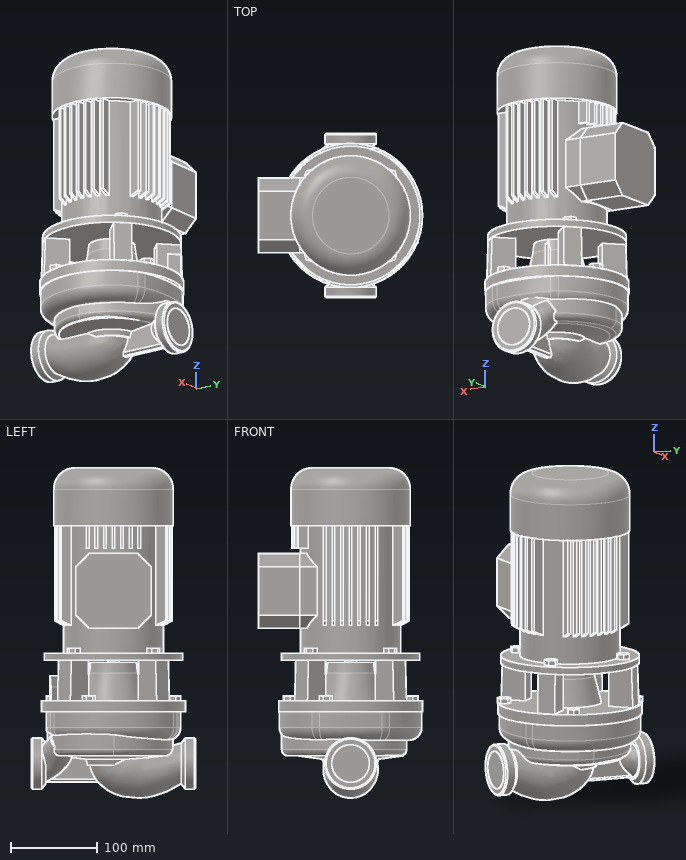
import cadquery as cq
import math


PORT_AXIS_Z = 40.0
VOLUTE_BOTTOM_Z = 49.0
CASING_BOTTOM_Z = 67.0
CASING_TOP_Z = 99.7
LANTERN_DISC_TOP_Z = 112.7
HUB_CONE_TOP_Z = 145.0
HUB_TOP_Z = 157.5
MOTOR_BOTTOM_Z = 159.5
MOTOR_FLANGE_TOP_Z = 167.8
FIN_BOTTOM_Z = 200.0
FIN_TIP_BOTTOM_Z = 205.2
SHORT_FIN_BOTTOM_Z = 289.0
FAN_COVER_BOTTOM_Z = 315.0
TOTAL_HEIGHT = 382.0

FAN_COVER_RADIUS = 69.0
FAN_COVER_FILLET = 25.0
MOTOR_RADIUS = 58.0
MOTOR_FLANGE_RADIUS = 80.3
FIN_TIP_RADIUS = 68.0
FIN_COUNT = 7
FIN_PITCH = 10.0
FIN_WIDTH = 3.0

BOX_SIZE = 86.8
BOX_CHAMFER = 15.3
BOX_CENTER_Z = 239.5
BOX_OUTER_X = -106.5
BOX_INNER_X = -59.0

BOLT_CORNER_DIAMETER = 15.3
BOLT_HEAD_HEIGHT = 5.7
BOLT_COUNT = 4
MOTOR_BOLT_CIRCLE_RADIUS = 65.0
MOTOR_BOLT_ANGLE = 45.0
CASING_BOLT_CIRCLE_RADIUS = 76.5
CASING_BOLT_ANGLE = 68.0

LANTERN_DISC_RADIUS = 83.5
LEG_COUNT = 4
FIRST_LEG_ANGLE = 45.0
LEG_WIDTH = 21.0
LEG_INNER_RADIUS = 51.2
LEG_TOP_RADIUS = 79.5
LEG_BOTTOM_RADIUS = 81.0
HUB_BASE_RADIUS = 36.3
HUB_CONE_TOP_RADIUS = 28.3
HUB_TOP_RADIUS = 26.8
SHAFT_RADIUS = 7.0
PLATE_THICKNESS = 2.3
PLATE_OFFSET = 26.8
PLATE_INNER_REACH = 61.0
PLATE_OUTER_REACH = 76.5
PLATE_TOP_Z = 141.8
PLATE_BEVEL_HEIGHT = 12.5
PLATE_BEVEL_DEPTH = 1.5

CASING_RADIUS = 82.5
CASING_BOTTOM_FILLET = 15.3
PANEL_HALF_WIDTH = 40.5
PANEL_Y = 78.0
PANEL_CORNER_FILLET = 30.5
VOLUTE_START_RADIUS = 65.0
VOLUTE_END_RADIUS = 80.0
VOLUTE_OUTLET_Y = 76.5
VOLUTE_TOP_Z = 78.5
VOLUTE_FILLET = 7.5
VOLUTE_WALL_STEPS = 12
BASE_CONE_RADIUS = 61.0
EYE_TOP_RADIUS = 32.5
EYE_TOP_Z = 45.0
EYE_BOTTOM_RADIUS = 30.5
EYE_BOTTOM_Z = 38.2

PORT_SPAN = 190.0
PORT_FACE_Y = PORT_SPAN / 2
PORT_RADIUS = 30.0
PORT_THICKNESS = 12.0
PORT_CONE_LENGTH = 5.0
PORT_CHAMFER = 1.5
PIPE_RADIUS = 23.7
NECK_Y = PORT_FACE_Y - PORT_THICKNESS - PORT_CONE_LENGTH
SEALING_FACE_RADIUS = 21.8
SEALING_FACE_DEPTH = 0.5
DISCHARGE_RADIUS = 22.5
PIPE_OVERLAP = 2.3

ELBOW_SECTIONS = [
    ((0, -53.5, 33.2), (0, 0.95, -0.25), 27.0),
    ((0, -26.8, 31.0), (0, 0.98, 0.2), 31.5),
    ((0, -6.0, 38.2), (0, 0.65, 0.75), 31.5),
    ((0, 0, 53.5), (0, 0, 1), 26.8),
]
DISCHARGE_SECTIONS = [
    ((-11.5, 69.5, 47.5), (-0.4, -0.6, 0.6), 18.7),
    ((-30.5, 59.2, 65.0), (-0.7, -0.4, 0.6), 14.5),
]

RIB_THICKNESS = 11.5
RIB_BOTTOM_Z = 18.7
RIB_END_Y = 76.5
RIB_CHAMFER = 3.0


def cylinder(radius, bottom_z, top_z):
    return cq.Workplane("XY").workplane(offset=bottom_z).circle(radius).extrude(top_z - bottom_z)


def bolt_heads(circle_radius, start_angle, seat_z):
    """Hexagon heads spread evenly around the shaft axis, standing on a face at seat_z."""
    return (
        cq.Workplane("XY")
        .workplane(offset=seat_z)
        .polarArray(circle_radius, start_angle, 360, BOLT_COUNT)
        .polygon(6, BOLT_CORNER_DIAMETER)
        .extrude(BOLT_HEAD_HEIGHT)
    )


def box_prism(start_x, end_x):
    """Terminal box section: a square with chamfered corners, running along X."""
    return (
        cq.Workplane("YZ", origin=(start_x, 0, BOX_CENTER_Z))
        .rect(BOX_SIZE, BOX_SIZE)
        .extrude(end_x - start_x)
        .edges("|X")
        .chamfer(BOX_CHAMFER)
    )


def fin_row(bottom_z):
    """Parallel cooling fins on the +X side, reaching past the fin tip radius."""
    fin_height = FAN_COVER_BOTTOM_Z - bottom_z
    middle = (FIN_COUNT - 1) / 2
    centers = [(FIN_TIP_RADIUS / 2, (i - middle) * FIN_PITCH) for i in range(FIN_COUNT)]
    return (
        cq.Workplane("XY")
        .workplane(offset=bottom_z)
        .pushPoints(centers)
        .rect(FIN_TIP_RADIUS, FIN_WIDTH)
        .extrude(fin_height)
    )


def make_fins():
    envelope = (
        cq.Workplane("XZ")
        .moveTo(0, FIN_BOTTOM_Z)
        .lineTo(MOTOR_RADIUS, FIN_BOTTOM_Z)
        .lineTo(FIN_TIP_RADIUS, FIN_TIP_BOTTOM_Z)
        .lineTo(FIN_TIP_RADIUS, FAN_COVER_BOTTOM_Z)
        .lineTo(0, FAN_COVER_BOTTOM_Z)
        .close()
        .revolve(360, (0, 0, 0), (0, 1, 0))
    )
    fins = fin_row(SHORT_FIN_BOTTOM_Z).rotate((0, 0, 0), (0, 0, 1), 180)
    for angle in (-90, 0, 90):
        fins = fins.union(fin_row(FIN_BOTTOM_Z).rotate((0, 0, 0), (0, 0, 1), angle))
    return fins.intersect(envelope)


def make_motor():
    fan_cover = cylinder(FAN_COVER_RADIUS, FAN_COVER_BOTTOM_Z, TOTAL_HEIGHT)
    fan_cover = fan_cover.faces(">Z").edges().fillet(FAN_COVER_FILLET)
    frame = cylinder(MOTOR_RADIUS, MOTOR_BOTTOM_Z, FAN_COVER_BOTTOM_Z)
    flange = cylinder(MOTOR_FLANGE_RADIUS, MOTOR_BOTTOM_Z, MOTOR_FLANGE_TOP_Z)
    box_seat = box_prism(BOX_INNER_X, 0)
    bolts = bolt_heads(MOTOR_BOLT_CIRCLE_RADIUS, MOTOR_BOLT_ANGLE, MOTOR_FLANGE_TOP_Z)
    return frame.union(fan_cover).union(make_fins()).union(flange).union(box_seat).union(bolts)


def make_terminal_box():
    return box_prism(BOX_OUTER_X, BOX_INNER_X)


def make_leg(angle):
    return (
        cq.Workplane("XZ")
        .moveTo(LEG_INNER_RADIUS, CASING_TOP_Z)
        .lineTo(LEG_BOTTOM_RADIUS, CASING_TOP_Z)
        .lineTo(LEG_BOTTOM_RADIUS, LANTERN_DISC_TOP_Z)
        .lineTo(LEG_TOP_RADIUS, MOTOR_BOTTOM_Z)
        .lineTo(LEG_INNER_RADIUS, MOTOR_BOTTOM_Z)
        .close()
        .extrude(LEG_WIDTH / 2, both=True)
        .rotate((0, 0, 0), (0, 0, 1), angle)
    )


def make_hub():
    return (
        cq.Workplane("XZ")
        .moveTo(0, CASING_TOP_Z)
        .lineTo(HUB_BASE_RADIUS, CASING_TOP_Z)
        .lineTo(HUB_BASE_RADIUS, LANTERN_DISC_TOP_Z)
        .lineTo(HUB_CONE_TOP_RADIUS, HUB_CONE_TOP_Z)
        .lineTo(HUB_TOP_RADIUS, HUB_TOP_Z)
        .lineTo(SHAFT_RADIUS, HUB_TOP_Z)
        .lineTo(SHAFT_RADIUS, MOTOR_BOTTOM_Z)
        .lineTo(0, MOTOR_BOTTOM_Z)
        .close()
        .revolve(360, (0, 0, 0), (0, 1, 0))
    )


def make_plate():
    """Thin upright plate parallel to the (-X, +Y) leg, bevelled along its top."""
    length = PLATE_OUTER_REACH - PLATE_INNER_REACH
    center = (PLATE_INNER_REACH + length / 2, -PLATE_OFFSET)
    return (
        cq.Workplane("XY")
        .workplane(offset=CASING_TOP_Z)
        .center(*center)
        .rect(length, PLATE_THICKNESS)
        .extrude(PLATE_TOP_Z - CASING_TOP_Z)
        .faces(">Y")
        .edges(">Z")
        .chamfer(PLATE_BEVEL_HEIGHT, PLATE_BEVEL_DEPTH)
        .rotate((0, 0, 0), (0, 0, 1), FIRST_LEG_ANGLE + 360 / LEG_COUNT)
    )


def make_lantern():
    lantern = cylinder(LANTERN_DISC_RADIUS, CASING_TOP_Z, LANTERN_DISC_TOP_Z).union(make_hub())
    for i in range(LEG_COUNT):
        lantern = lantern.union(make_leg(FIRST_LEG_ANGLE + i * 360 / LEG_COUNT))
    bolts = bolt_heads(CASING_BOLT_CIRCLE_RADIUS, CASING_BOLT_ANGLE, LANTERN_DISC_TOP_Z)
    return lantern.union(make_plate()).union(bolts)


def make_bowl():
    """Round bowl whose -Y and +Y sides are flattened to a wide arc."""
    corner_y = math.sqrt(CASING_RADIUS**2 - PANEL_HALF_WIDTH**2)
    return (
        cq.Workplane("XY")
        .workplane(offset=CASING_BOTTOM_Z)
        .moveTo(PANEL_HALF_WIDTH, -corner_y)
        .threePointArc((CASING_RADIUS, 0), (PANEL_HALF_WIDTH, corner_y))
        .threePointArc((0, PANEL_Y), (-PANEL_HALF_WIDTH, corner_y))
        .threePointArc((-CASING_RADIUS, 0), (-PANEL_HALF_WIDTH, -corner_y))
        .threePointArc((0, -PANEL_Y), (PANEL_HALF_WIDTH, -corner_y))
        .close()
        .extrude(CASING_TOP_Z - CASING_BOTTOM_Z)
        .edges("|Z")
        .fillet(PANEL_CORNER_FILLET)
        .faces("<Z")
        .edges()
        .fillet(CASING_BOTTOM_FILLET)
    )


def volute_point(turn):
    """Point on the volute wall; turn runs 0..1 clockwise from +X over -Y to -X, growing outward."""
    radius = VOLUTE_START_RADIUS + turn**2 * (VOLUTE_END_RADIUS - VOLUTE_START_RADIUS)
    angle = -math.pi * turn
    return (radius * math.cos(angle), radius * math.sin(angle))


def make_volute():
    """Scroll below the bowl: a growing wall from +X to -X, then two arcs back to its start."""
    wall = [volute_point(i / VOLUTE_WALL_STEPS) for i in range(VOLUTE_WALL_STEPS + 1)]
    outlet_corner = VOLUTE_END_RADIUS * math.sqrt(0.5)
    tongue_corner = VOLUTE_START_RADIUS * math.sqrt(0.5)
    return (
        cq.Workplane("XY")
        .workplane(offset=VOLUTE_BOTTOM_Z)
        .moveTo(*wall[0])
        .spline(wall[1:], includeCurrent=True)
        .threePointArc((-outlet_corner, outlet_corner), (0, VOLUTE_OUTLET_Y))
        .threePointArc((tongue_corner, tongue_corner), wall[0])
        .close()
        .extrude(VOLUTE_TOP_Z - VOLUTE_BOTTOM_Z)
        .faces("<Z")
        .edges()
        .fillet(VOLUTE_FILLET)
    )


def make_eye():
    """Shallow cone under the volute that leads down to the collar of the suction elbow."""
    return (
        cq.Workplane("XZ")
        .moveTo(0, CASING_BOTTOM_Z)
        .lineTo(BASE_CONE_RADIUS, CASING_BOTTOM_Z)
        .lineTo(BASE_CONE_RADIUS, VOLUTE_BOTTOM_Z)
        .lineTo(EYE_TOP_RADIUS, EYE_TOP_Z)
        .lineTo(EYE_BOTTOM_RADIUS, EYE_BOTTOM_Z)
        .lineTo(0, EYE_BOTTOM_Z)
        .close()
        .revolve(360, (0, 0, 0), (0, 1, 0))
    )


def make_port(side):
    """Pipe connection on the -Y (side = -1) or +Y (side = 1) end, with a stepped sealing face."""
    shoulder_y = PORT_FACE_Y - PORT_THICKNESS
    port = (
        cq.Workplane("XY")
        .moveTo(0, PORT_FACE_Y - SEALING_FACE_DEPTH)
        .lineTo(SEALING_FACE_RADIUS, PORT_FACE_Y - SEALING_FACE_DEPTH)
        .lineTo(SEALING_FACE_RADIUS, PORT_FACE_Y)
        .lineTo(PORT_RADIUS - PORT_CHAMFER, PORT_FACE_Y)
        .lineTo(PORT_RADIUS, PORT_FACE_Y - PORT_CHAMFER)
        .lineTo(PORT_RADIUS, shoulder_y)
        .lineTo(PIPE_RADIUS, NECK_Y)
        .lineTo(0, NECK_Y)
        .close()
        .revolve(360, (0, 0, 0), (0, 1, 0))
    )
    if side < 0:
        port = port.mirror("XZ")
    return port.translate((0, 0, PORT_AXIS_Z))


def pipe_through(sections):
    """Smooth pipe through round sections, each given as center, direction and radius."""
    rings = []
    for center, direction, radius in sections:
        ring_plane = cq.Plane(origin=center, xDir=(0, -direction[2], direction[1]), normal=direction)
        rings.append(cq.Workplane(ring_plane).circle(radius).wires().val())
    return cq.Workplane(cq.Solid.makeLoft(rings))


def make_suction_elbow():
    """Pipe from the -Y port that swells, dips and turns up into the eye."""
    return pipe_through([((0, -NECK_Y, PORT_AXIS_Z), (0, 1, 0), PIPE_RADIUS)] + ELBOW_SECTIONS)


def make_discharge_pipe():
    """Pipe that narrows and rises from the +Y port into the end of the volute."""
    start = ((0, NECK_Y + PIPE_OVERLAP, PORT_AXIS_Z), (0, -1, 0), DISCHARGE_RADIUS)
    return pipe_through([start] + DISCHARGE_SECTIONS)


def make_rib():
    rib_height = CASING_BOTTOM_Z - RIB_BOTTOM_Z
    return (
        cq.Workplane("XY")
        .workplane(offset=RIB_BOTTOM_Z)
        .center(0, RIB_END_Y / 2)
        .rect(RIB_THICKNESS, RIB_END_Y)
        .extrude(rib_height)
        .edges("|Y and <Z")
        .chamfer(RIB_CHAMFER)
    )


def make_casing():
    casing = make_bowl().union(make_volute())
    casing = casing.union(make_eye())
    casing = casing.union(make_suction_elbow()).union(make_discharge_pipe()).union(make_rib())
    return casing.union(make_port(-1)).union(make_port(1))


motor = make_motor()
terminal_box = make_terminal_box()
lantern = make_lantern()
casing = make_casing()

result = cq.Compound.makeCompound(
    [
        motor.solids().val(),
        terminal_box.solids().val(),
        lantern.solids().val(),
        casing.solids().val(),
    ]
)